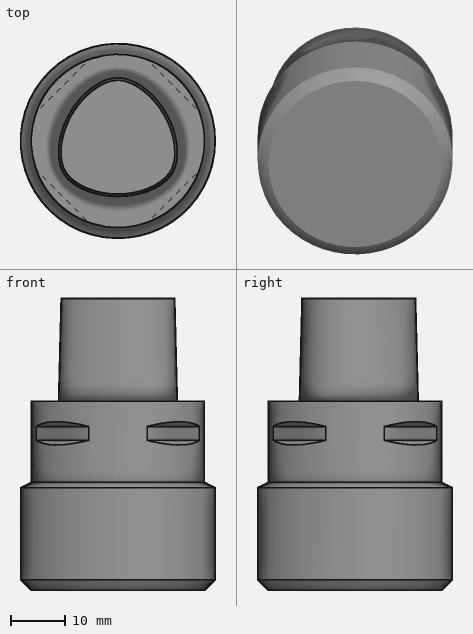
import cadquery as cq
import math

TOTAL_HEIGHT = 54.0
SHANK_LENGTH = 19.0
BASE_HEIGHT = 20.0
COLLAR_TOP = TOTAL_HEIGHT - SHANK_LENGTH

BASE_DIAMETER = 36.0
COLLAR_DIAMETER = 32.0
CHAMFER_WIDTH = (BASE_DIAMETER - COLLAR_DIAMETER) / 2
BOTTOM_CHAMFER_HEIGHT = CHAMFER_WIDTH
TOP_CHAMFER_HEIGHT = CHAMFER_WIDTH / 2

SHANK_WIDTH = 22.0
SHANK_TAPER = 1 / 20
LOBE_ECCENTRICITY = 0.7
LOBE_COUNT = 3
LOBE_DIRECTION = 90.0
CURVE_POINTS = 72

GROOVE_COUNT = 4
GROOVE_FIRST_ANGLE = 45.0
GROOVE_CENTER_HEIGHT = 29.05
GROOVE_FLOOR_RADIUS = 14.45
GROOVE_FLOOR_HEIGHT = 2.55
GROOVE_FLANK_ANGLE = 30.0


def make_base():
    """Revolved base with a chamfer at each end."""
    base_radius = BASE_DIAMETER / 2
    end_radius = COLLAR_DIAMETER / 2
    return (
        cq.Workplane("XZ")
        .moveTo(0, 0)
        .lineTo(end_radius, 0)
        .lineTo(base_radius, BOTTOM_CHAMFER_HEIGHT)
        .lineTo(base_radius, BASE_HEIGHT - TOP_CHAMFER_HEIGHT)
        .lineTo(end_radius, BASE_HEIGHT)
        .lineTo(0, BASE_HEIGHT)
        .close()
        .revolve(360, (0, 0, 0), (0, 1, 0))
    )


def lobed_wire(width, height):
    """Closed constant-width curve whose distance from the axis varies with each lobe."""

    def point(fraction):
        angle = 2 * math.pi * fraction
        lobe_angle = LOBE_COUNT * (angle - math.radians(LOBE_DIRECTION))
        reach = width / 2 + LOBE_ECCENTRICITY * math.cos(lobe_angle)
        slide = -LOBE_COUNT * LOBE_ECCENTRICITY * math.sin(lobe_angle)
        return cq.Vector(
            reach * math.cos(angle) - slide * math.sin(angle),
            reach * math.sin(angle) + slide * math.cos(angle),
            height,
        )

    points = [point(i / CURVE_POINTS) for i in range(CURVE_POINTS)]
    return cq.Wire.assembleEdges([cq.Edge.makeSpline(points, periodic=True)])


def make_shank():
    """Tapered three-lobed shank standing on the collar."""
    top_width = SHANK_WIDTH - SHANK_TAPER * SHANK_LENGTH
    wires = [lobed_wire(SHANK_WIDTH, COLLAR_TOP), lobed_wire(top_width, TOTAL_HEIGHT)]
    return cq.Workplane(cq.Solid.makeLoft(wires, True))


def make_groove_cutter(angle):
    """Straight trapezoidal bar that runs across the collar's edge."""
    outer_radius = BASE_DIAMETER / 2
    half_floor = GROOVE_FLOOR_HEIGHT / 2
    flare = (outer_radius - GROOVE_FLOOR_RADIUS) * math.tan(math.radians(GROOVE_FLANK_ANGLE))
    half_opening = half_floor + flare
    return (
        cq.Workplane("XZ")
        .moveTo(GROOVE_FLOOR_RADIUS, -half_floor)
        .lineTo(outer_radius, -half_opening)
        .lineTo(outer_radius, half_opening)
        .lineTo(GROOVE_FLOOR_RADIUS, half_floor)
        .close()
        .extrude(COLLAR_DIAMETER / 2, both=True)
        .translate((0, 0, GROOVE_CENTER_HEIGHT))
        .rotate((0, 0, 0), (0, 0, 1), angle)
    )


def make_holder():
    """Grooved collar and its lobed shank."""
    collar = (
        cq.Workplane("XY")
        .workplane(offset=BASE_HEIGHT)
        .circle(COLLAR_DIAMETER / 2)
        .extrude(COLLAR_TOP - BASE_HEIGHT)
    )
    for i in range(GROOVE_COUNT):
        collar = collar.cut(make_groove_cutter(GROOVE_FIRST_ANGLE + i * 360 / GROOVE_COUNT))
    return collar.union(make_shank())


base = make_base()
holder = make_holder()

result = cq.Compound.makeCompound([base.val(), *holder.solids().vals()])